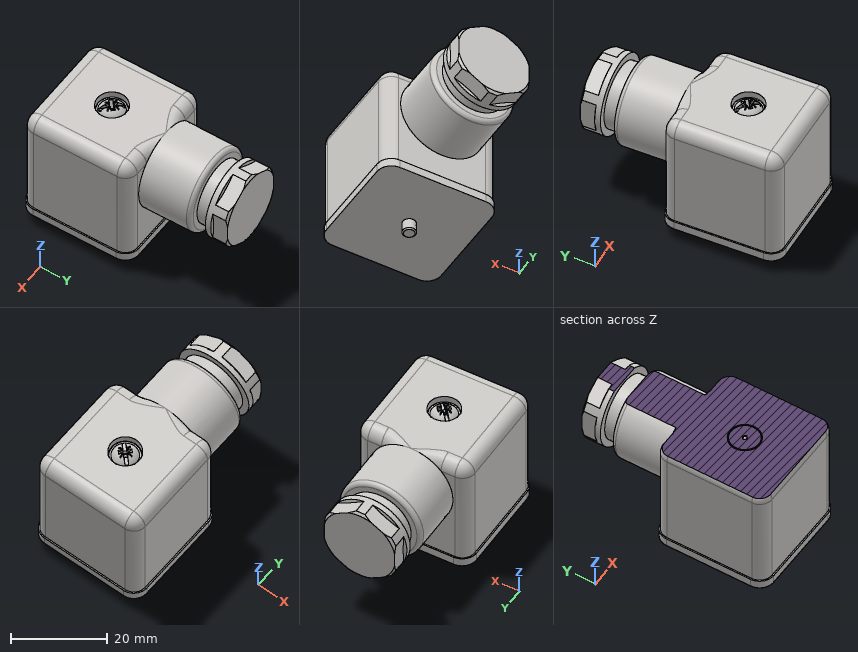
import cadquery as cq
import math


overall_length = 48.65

base_side = 27.7
base_height = 2.1
base_corner_radius = 3.45
housing_side = 27.0
housing_top = 28.5
housing_radius = 3.0
housing_half = housing_side / 2

sleeve_diameter = 20.0
sleeve_radius = sleeve_diameter / 2
sleeve_end = 26.5
sleeve_edge_radius = 1.0
neck_axis_height = housing_top - sleeve_radius
rounding_axis_height = housing_top - housing_radius
blend_half_width = math.sqrt(sleeve_radius**2 - (rounding_axis_height - neck_axis_height) ** 2)
blend_section_count = 10
collar_radius = 7.6
touch_tolerance = 0.001

nut_radius = 9.25
nut_across_flats = 17.0
hexagon_turn = 30
nut_flange_start = 29.73
nut_flange_thickness = 1.35
nut_flange_slope_rise = 0.3
nut_flange_slope_run = 0.95
nut_end = overall_length - base_side / 2
nut_chamfer_length = 0.5
nut_chamfer_depth = 0.6

shank_radius = 1.5
shank_length = 2.75
shank_chamfer = 0.3
recess_radius = 3.6
recess_floor = 26.65
rim_radius = 3.45
rim_height = 27.05
dome_radius = 2.95
dome_top = 28.8
slot_width = 0.8
slot_floor = 27.45
cross_width = 0.9
cross_reach = 1.65
cross_tip_width = 0.15
cross_depth = 2.45
notch_width = 0.2
notch_depth = 0.75
slot_angle = -45


def neck_disc(radius, start, end):
    """Cylinder on the neck axis between two Y positions."""
    plane = cq.Workplane("XZ", origin=(0, start, neck_axis_height))
    return plane.circle(radius).extrude(start - end)


def blend_setback(x):
    """Distance from the rear wall to the axis of the top rounding that just meets the sleeve outline."""
    sleeve_height = neck_axis_height + math.sqrt(sleeve_radius**2 - x**2)
    rise = max(sleeve_height - rounding_axis_height, 0)
    return math.sqrt(max(housing_radius**2 - rise**2, 0))


def blend_cutter(side):
    """Material above the rear rounding on one side, from the middle to where the sleeve leaves it."""
    clearance = 0.5
    diagonal = housing_radius * math.sqrt(0.5)
    wires = []
    for index in range(blend_section_count + 1):
        x = blend_half_width * index / blend_section_count
        axis_y = housing_half - blend_setback(x)
        outline = (
            cq.Workplane("YZ", origin=(side * x, 0, 0))
            .moveTo(axis_y, housing_top)
            .threePointArc(
                (axis_y + diagonal, rounding_axis_height + diagonal),
                (axis_y + housing_radius, rounding_axis_height),
            )
            .lineTo(axis_y + housing_radius + clearance, rounding_axis_height)
            .lineTo(axis_y + housing_radius + clearance, housing_top + clearance)
            .lineTo(axis_y, housing_top + clearance)
            .close()
        )
        wires.append(outline.val())
    return cq.Workplane(cq.Solid.makeLoft(wires))


def make_housing():
    base = cq.Workplane().rect(base_side, base_side).extrude(base_height)
    base = base.edges("|Z").fillet(base_corner_radius)
    housing = cq.Workplane().rect(housing_side, housing_side).extrude(housing_top)
    housing = housing.edges("|Z").fillet(housing_radius).faces(">Z").edges().fillet(housing_radius)

    filler = cq.Workplane().box(
        2 * blend_half_width, housing_radius, housing_radius, centered=(True, False, False)
    ).translate((0, housing_half - housing_radius, rounding_axis_height))
    housing = housing.union(filler)
    for side in (-1, 1):
        housing = housing.cut(blend_cutter(side))
    return base.union(housing)


def make_neck():
    sleeve = neck_disc(sleeve_radius, housing_half, sleeve_end).faces(">Y").edges().fillet(sleeve_edge_radius)
    collar = neck_disc(collar_radius, sleeve_end - sleeve_edge_radius, nut_flange_start)
    return sleeve.union(collar)


def make_nut():
    flange_end = nut_flange_start + nut_flange_thickness
    flange = neck_disc(nut_radius, nut_flange_start, flange_end)
    rounded_blank = neck_disc(nut_radius, flange_end, nut_end).faces(">Y").edges().chamfer(
        nut_chamfer_length, nut_chamfer_depth
    )
    hexagon = (
        cq.Workplane("XZ", origin=(0, flange_end, neck_axis_height))
        .transformed(rotate=(0, 0, hexagon_turn))
        .polygon(6, nut_across_flats / math.cos(math.pi / 6))
        .extrude(flange_end - nut_end)
    )
    slope = cq.Workplane(
        cq.Solid.makeCone(
            nut_radius,
            nut_radius - nut_flange_slope_run,
            nut_flange_slope_rise,
            pnt=cq.Vector(0, flange_end, neck_axis_height),
            dir=cq.Vector(0, 1, 0),
        )
    )
    return flange.union(slope).union(rounded_blank.intersect(hexagon))


def make_screw_head():
    dome_height = dome_top - rim_height
    sphere_radius = (dome_radius**2 + dome_height**2) / (2 * dome_height)
    middle_radius = dome_radius / 2
    middle_drop = sphere_radius - math.sqrt(sphere_radius**2 - middle_radius**2)
    head = (
        cq.Workplane("XZ")
        .moveTo(0, recess_floor)
        .lineTo(rim_radius, recess_floor)
        .lineTo(rim_radius, rim_height)
        .lineTo(dome_radius, rim_height)
        .threePointArc((middle_radius, dome_top - middle_drop), (0, dome_top))
        .close()
        .revolve()
    )
    slot = cq.Workplane(origin=(0, 0, slot_floor)).rect(2 * rim_radius, slot_width).extrude(dome_height)
    head = head.cut(slot.rotate((0, 0, 0), (0, 0, 1), slot_angle))

    for angle in (slot_angle, slot_angle + 90):
        arm = (
            cq.Workplane("XZ")
            .moveTo(-cross_reach, dome_top)
            .lineTo(cross_reach, dome_top)
            .lineTo(cross_tip_width / 2, dome_top - cross_depth)
            .lineTo(-cross_tip_width / 2, dome_top - cross_depth)
            .close()
            .extrude(cross_width / 2, both=True)
        )
        head = head.cut(arm.rotate((0, 0, 0), (0, 0, 1), angle))
    for angle in (0, 90):
        notch = cq.Workplane(origin=(0, 0, dome_top)).rect(2 * cross_reach, notch_width).extrude(-notch_depth)
        head = head.cut(notch.rotate((0, 0, 0), (0, 0, 1), angle))
    return head


def make_shank():
    shank = cq.Workplane().circle(shank_radius).extrude(-shank_length)
    return shank.faces("<Z").edges().chamfer(shank_chamfer)


screw_recess = cq.Workplane(origin=(0, 0, recess_floor)).circle(recess_radius).extrude(dome_top - recess_floor)

result = (
    make_housing()
    .union(make_neck(), tol=touch_tolerance)
    .union(make_nut())
    .cut(screw_recess)
    .union(make_screw_head())
    .union(make_shank())
)